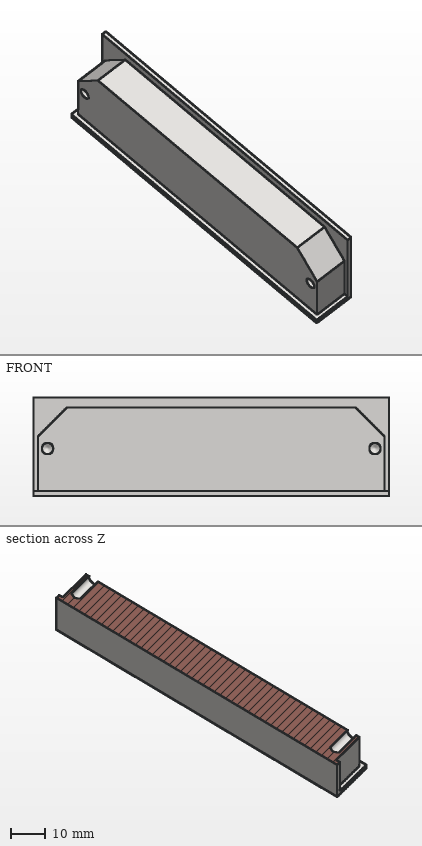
import cadquery as cq
import math

length = 104.5
depth = 14.0
height = 29.0
wall = 1.5

end_margin = 1.4
front_margin = 1.5
top_margin = 3.0
corner_cut = 8.5

hole_diameter = 3.3
hole_depth = 8.4
drill_tip_angle = 118.0
hole_spacing = 96.1
hole_height = 14.0

body_length = length - 2 * end_margin
body_depth = depth - wall - front_margin
body_height = height - wall - top_margin


def block(size_x, size_y, size_z, front_y, bottom_z):
    """Box centred on X, with its front face and underside placed."""
    box = cq.Workplane("XY").box(size_x, size_y, size_z, centered=(True, False, False))
    return box.translate((0, front_y, bottom_z))


back_plate = block(length, wall, height, depth - wall, 0)
bottom_flange = block(length, depth, wall, 0, 0)

body = block(body_length, body_depth, body_height, front_margin, wall)
body = body.edges("|Y and >Z").chamfer(corner_cut)


def drilled_hole(centre_x):
    """Drill-shaped cutter running inward from the front face of the body."""
    radius = hole_diameter / 2
    tip_length = radius / math.tan(math.radians(drill_tip_angle / 2))
    half_profile = (
        cq.Workplane("XY")
        .polyline([(0, 0), (radius, 0), (radius, hole_depth), (0, hole_depth + tip_length)])
        .close()
    )
    cutter = half_profile.revolve(360, (0, 0), (0, 1))
    return cutter.translate((centre_x, front_margin, hole_height))


result = back_plate.union(bottom_flange).union(body)
for side in (-1, 1):
    result = result.cut(drilled_hole(side * hole_spacing / 2))